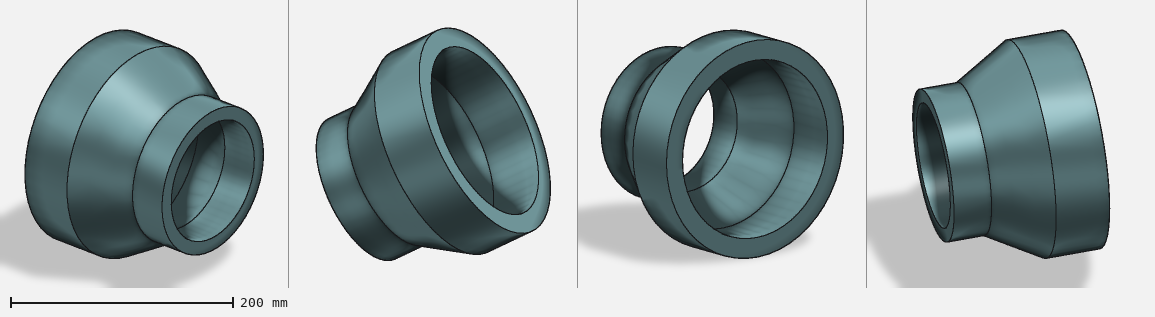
import cadquery as cq

total_length = 137.0
large_length = 50.0
small_length = 35.0
large_outer_diameter = 200.0
large_bore_diameter = 163.5
small_outer_diameter = 140.0
small_bore_diameter = 114.5

small_start = total_length - small_length


def reducer_solid(large_diameter, small_diameter):
    """Cylinder, cone and smaller cylinder in one revolved solid."""
    large_radius = large_diameter / 2
    small_radius = small_diameter / 2
    return (
        cq.Workplane("XY")
        .polyline([
            (0, 0),
            (0, large_radius),
            (large_length, large_radius),
            (small_start, small_radius),
            (total_length, small_radius),
            (total_length, 0),
        ])
        .close()
        .revolve(360, (0, 0, 0), (1, 0, 0))
    )


outer_body = reducer_solid(large_outer_diameter, small_outer_diameter)
bore = reducer_solid(large_bore_diameter, small_bore_diameter)

result = outer_body.cut(bore)